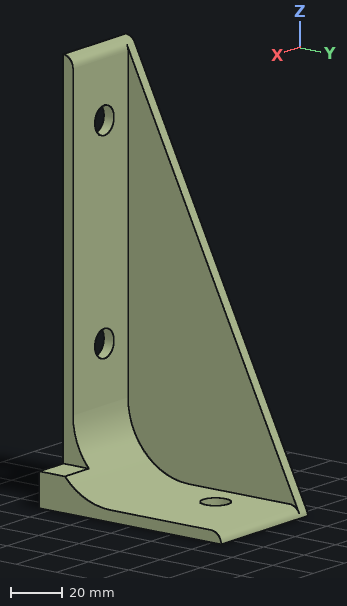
import cadquery as cq
import math

height = 180.0
depth = 90.0
base_width = 55.0
wall_width = 40.0
thickness = 5.0
bend_radius = 30.0
foot_height = 15.0
hole_diameter = 12.0
hole_x = wall_width / 2
lower_hole_z = 60.0
upper_hole_z = 150.0
base_hole_y = 60.0

wall_round_z = height - thickness
base_round_y = depth - thickness
round_mid = thickness * math.sqrt(0.5)


def make_bracket():
    """L profile in the YZ plane, extruded along X."""
    bend_end = thickness + bend_radius
    bend_mid = bend_end - bend_radius * math.sqrt(0.5)
    return (
        cq.Workplane("YZ")
        .moveTo(0, 0)
        .lineTo(depth, 0)
        .threePointArc((base_round_y + round_mid, round_mid), (base_round_y, thickness))
        .lineTo(bend_end, thickness)
        .threePointArc((bend_mid, bend_mid), (thickness, bend_end))
        .lineTo(thickness, wall_round_z)
        .threePointArc((round_mid, wall_round_z + round_mid), (0, height))
        .close()
        .extrude(base_width)
    )


def trim_wall(bracket):
    """Narrow the wall and bend above the foot."""
    cutter = cq.Workplane("XY").box(
        base_width - wall_width, depth, height - foot_height, centered=False
    )
    return bracket.cut(cutter.translate((wall_width, 0, foot_height)))


def make_side_plate():
    """Triangular plate whose sloping edge is tangent to both end rounds."""
    slope_angle = math.atan2(base_round_y, wall_round_z)
    tangent_y = thickness * math.cos(slope_angle)
    tangent_z = thickness * math.sin(slope_angle)
    arc_angle_top = (slope_angle + math.pi / 2) / 2
    arc_angle_base = slope_angle / 2
    top_mid = (
        thickness * math.cos(arc_angle_top),
        wall_round_z + thickness * math.sin(arc_angle_top),
    )
    base_mid = (
        base_round_y + thickness * math.cos(arc_angle_base),
        thickness * math.sin(arc_angle_base),
    )
    return (
        cq.Workplane("YZ")
        .moveTo(0, 0)
        .lineTo(depth, 0)
        .threePointArc(base_mid, (base_round_y + tangent_y, tangent_z))
        .lineTo(tangent_y, wall_round_z + tangent_z)
        .threePointArc(top_mid, (0, height))
        .close()
        .extrude(thickness)
    )


def make_holes():
    """Two holes through the wall along Y and one through the base along Z."""
    radius = hole_diameter / 2
    holes = cq.Workplane("XY").center(hole_x, base_hole_y).circle(radius).extrude(thickness)
    for hole_z in (lower_hole_z, upper_hole_z):
        wall_hole = cq.Workplane("XZ").center(hole_x, hole_z).circle(radius).extrude(-thickness)
        holes = holes.add(wall_hole)
    return holes.combine()


result = trim_wall(make_bracket()).union(make_side_plate()).cut(make_holes())